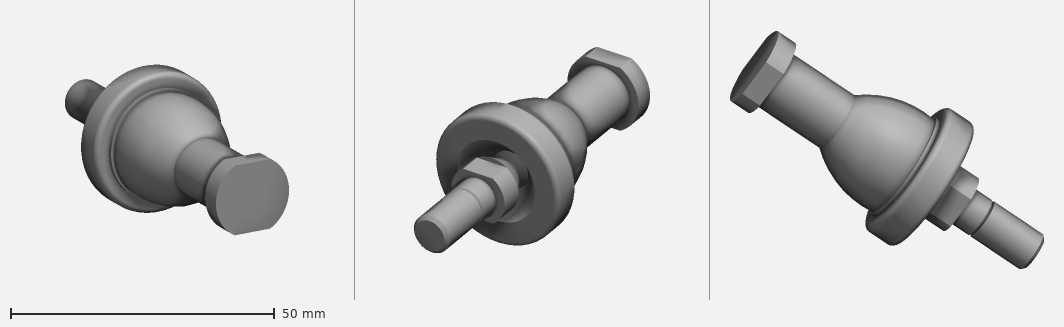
import cadquery as cq
import math

overall_length = 65.0
stud_end = -overall_length / 2
housing_end = overall_length / 2

shank_radius = 4.0
shank_chamfer = 0.7
thread_length = 12.0
relief_depth = 0.6
shank_length = 17.0
collar_radius = 6.0
collar_length = 4.8
collar_flats_width = 10.0
neck_radius = 2.7
ball_radius = 6.0

flange_radius = 14.0
flange_thickness = 6.4
flange_fillet = 1.1
stud_reach = 23.4
flange_face = stud_end + stud_reach
step_radius = 11.1
step_length = 0.8
dome_radius = 10.7
dome_length = 15.1
dome_crown_offset = 2.5
tail_radius = 6.0
head_radius = 8.0
head_thickness = 4.1
head_flats_width = 14.0
recess_mouth_radius = 8.75
recess_depth = 5.0
recess_throat_radius = 4.0

throat = flange_face + recess_depth
ball_centre = throat + math.sqrt(ball_radius**2 - recess_throat_radius**2)


def revolve_about_x(profile):
    return profile.close().revolve(360, (0, 0, 0), (1, 0, 0))


def cut_flats(body, start, length, width, radius):
    """Cut two parallel flats, facing +Z and -Z, over a length of a round body."""
    for side in (1, -1):
        depth = radius - width / 2
        slab = cq.Workplane("XY").box(length, 2 * radius, depth)
        slab = slab.translate((start + length / 2, 0, side * (width + depth) / 2))
        body = body.cut(slab)
    return body


def make_stud():
    thread_end = stud_end + thread_length
    collar_start = stud_end + shank_length
    collar_end = collar_start + collar_length
    neck_end = ball_centre - math.sqrt(ball_radius**2 - neck_radius**2)
    profile = (
        cq.Workplane("XY")
        .moveTo(stud_end, 0)
        .lineTo(stud_end, shank_radius - shank_chamfer)
        .lineTo(stud_end + shank_chamfer, shank_radius)
        .lineTo(thread_end, shank_radius)
        .lineTo(thread_end, shank_radius - relief_depth)
        .lineTo(thread_end + relief_depth, shank_radius)
        .lineTo(collar_start, shank_radius)
        .lineTo(collar_start, collar_radius)
        .lineTo(collar_end, collar_radius)
        .lineTo(neck_end, neck_radius)
        .threePointArc((ball_centre, ball_radius), (ball_centre + ball_radius, 0))
    )
    stud = revolve_about_x(profile)
    return cut_flats(stud, collar_start, collar_length, collar_flats_width, collar_radius)


def make_housing():
    flange_back = flange_face + flange_thickness
    step_end = flange_back + step_length
    dome_end = step_end + dome_length
    head_start = housing_end - head_thickness
    crown = step_end + dome_crown_offset
    drop = dome_radius - tail_radius
    run = dome_end - crown
    arc_radius = (drop**2 + run**2) / (2 * drop)
    arc_centre_height = dome_radius - arc_radius
    dome_start_height = arc_centre_height + math.sqrt(arc_radius**2 - dome_crown_offset**2)
    profile = (
        cq.Workplane("XY")
        .moveTo(throat, 0)
        .lineTo(throat, recess_throat_radius)
        .lineTo(flange_face, recess_mouth_radius)
        .lineTo(flange_face, flange_radius - flange_fillet)
        .radiusArc((flange_face + flange_fillet, flange_radius), flange_fillet)
        .lineTo(flange_back - flange_fillet, flange_radius)
        .radiusArc((flange_back, flange_radius - flange_fillet), flange_fillet)
        .lineTo(flange_back, step_radius)
        .lineTo(step_end, step_radius)
        .lineTo(step_end, dome_start_height)
        .threePointArc((crown, dome_radius), (dome_end, tail_radius))
        .lineTo(head_start, tail_radius)
        .lineTo(head_start, head_radius)
        .lineTo(housing_end, head_radius)
        .lineTo(housing_end, 0)
    )
    housing = revolve_about_x(profile)
    housing = cut_flats(housing, head_start, head_thickness, head_flats_width, head_radius)
    socket = cq.Workplane("XY").sphere(ball_radius).translate((ball_centre, 0, 0))
    return housing.cut(socket)


stud = make_stud()
housing = make_housing()

result = cq.Compound.makeCompound([stud.val(), housing.val()])